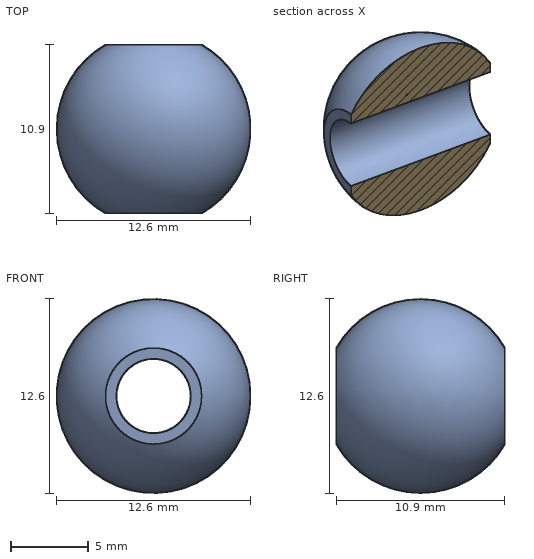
import cadquery as cq
import math

ball_diameter = 12.57
width_across_flats = 10.92
bore_diameter = 4.79

ball_radius = ball_diameter / 2
bore_radius = bore_diameter / 2
half_width = width_across_flats / 2
flat_radius = math.sqrt(ball_radius**2 - half_width**2)

half_section = (
    cq.Workplane("XY")
    .moveTo(bore_radius, -half_width)
    .lineTo(flat_radius, -half_width)
    .threePointArc((ball_radius, 0), (flat_radius, half_width))
    .lineTo(bore_radius, half_width)
    .close()
)

result = half_section.revolve(360, (0, 0, 0), (0, 1, 0))